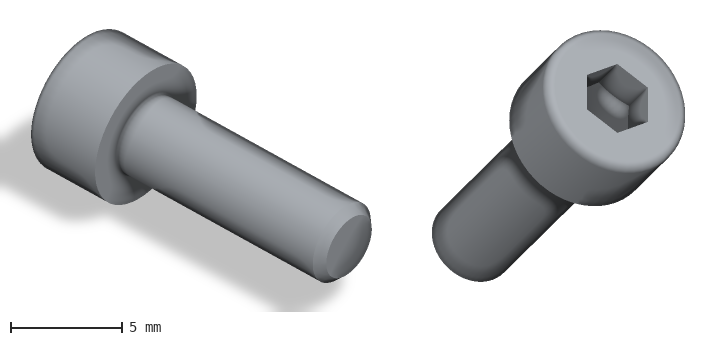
import cadquery as cq
import math


head_diameter = 7.0
head_height = 4.0
head_edge_radius = 0.4

shank_diameter = 4.0
shank_length = 12.0
tip_chamfer = 0.43
neck_fillet_radius = 0.1

socket_across_flats = 3.0
socket_depth = 2.0
socket_cone_angle = 120.0
socket_sides = 6

ARC_MIDPOINT_INSET = 1 - math.sqrt(0.5)

head_radius = head_diameter / 2
shank_radius = shank_diameter / 2
socket_circumradius = socket_across_flats / math.sqrt(3)
socket_cone_depth = socket_circumradius / math.tan(math.radians(socket_cone_angle / 2))


def screw_body():
    """Head and shank revolved about the X axis from one half profile."""
    corner_offset = head_edge_radius * ARC_MIDPOINT_INSET
    neck_offset = neck_fillet_radius * ARC_MIDPOINT_INSET
    profile = (
        cq.Workplane("XY")
        .moveTo(-head_height, 0)
        .lineTo(-head_height, head_radius - head_edge_radius)
        .threePointArc(
            (-head_height + corner_offset, head_radius - corner_offset),
            (-head_height + head_edge_radius, head_radius),
        )
        .lineTo(0, head_radius)
        .lineTo(0, shank_radius + neck_fillet_radius)
        .threePointArc(
            (neck_offset, shank_radius + neck_offset),
            (neck_fillet_radius, shank_radius),
        )
        .lineTo(shank_length - tip_chamfer, shank_radius)
        .lineTo(shank_length, shank_radius - tip_chamfer)
        .lineTo(shank_length, 0)
        .close()
    )
    return profile.revolve(360, (0, 0, 0), (1, 0, 0))


def hex_socket():
    """Hexagonal prism, corners up and down, limited by a pointed round plug."""
    corner_angles = [math.radians(90 + i * 360 / socket_sides) for i in range(socket_sides)]
    corners = [
        (socket_circumradius * math.cos(angle), socket_circumradius * math.sin(angle))
        for angle in corner_angles
    ]
    prism = (
        cq.Workplane("YZ", origin=(-head_height, 0, 0))
        .polyline(corners)
        .close()
        .extrude(socket_depth + socket_cone_depth)
    )
    socket_floor = -head_height + socket_depth
    plug = (
        cq.Workplane("XY")
        .moveTo(-head_height, 0)
        .lineTo(-head_height, socket_circumradius)
        .lineTo(socket_floor, socket_circumradius)
        .lineTo(socket_floor + socket_cone_depth, 0)
        .close()
        .revolve(360, (0, 0, 0), (1, 0, 0))
    )
    return prism.intersect(plug)


result = screw_body().cut(hex_socket())